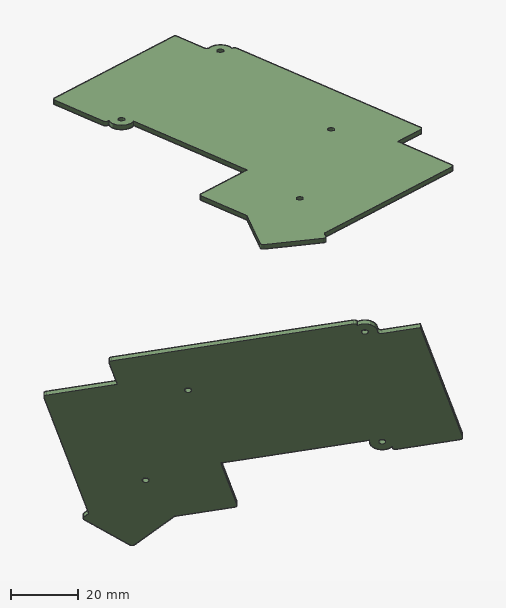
import cadquery as cq
import math

length = 117.7
depth = 85.6
thickness = 1.5
corner_radius = 1.0

left_top = 79.2
left_bottom = 25.4
upper_block_left = 17.8
upper_block_right = 93.1
lower_left_end = 21.3
middle_bottom = 31.4
right_block_left = 72.1
right_block_right = 115.6
right_block_top = 74.5
right_block_bottom = 10.4

tip_angle = math.radians(35)
tip_start_x = 91.3

hole_diameter = 2.0
tab_radius = 3.8
upper_tab = (16.4, 81.1)
lower_tab = (23.5, 29.9)
inner_holes = [(73.4, 66.8), (95.6, 28.8)]


def tip_points():
    """Sharp corners of the tip, set so that its rounded corners reach Y = 0 and X = length."""
    c = math.cos(tip_angle)
    s = math.sin(tip_angle)
    r = corner_radius
    bottom_x = tip_start_x + (r + (right_block_bottom - r) * c) / s
    right_x = length - r
    right_y = r + (right_x - bottom_x) * c / s
    bottom_corner = (bottom_x + r * (c - s), r - r * (s + c))
    right_corner = (right_x + r * (c + s), right_y + r * (c - s))
    notch_y = right_corner[1] + (right_corner[0] - right_block_right) * s / c
    return bottom_corner, right_corner, (right_block_right, notch_y)


def round_corners(plate, points, radius):
    """Round the vertical edges that pass through the given points."""
    for x, y in points:
        edge = cq.selectors.NearestToPointSelector((x, y, thickness / 2))
        plate = plate.edges("|Z").edges(edge).fillet(radius)
    return plate


def stepped_plate():
    bottom_corner, right_corner, notch = tip_points()
    lower_left = (0, left_bottom)
    lower_left_step = (lower_left_end, left_bottom)
    block_lower_left = (right_block_left, right_block_bottom)
    block_upper_right = (right_block_right, right_block_top)
    top_right = (upper_block_right, depth)
    top_left = (upper_block_left, depth)
    outline = [
        lower_left,
        lower_left_step,
        (lower_left_end, middle_bottom),
        (right_block_left, middle_bottom),
        block_lower_left,
        (tip_start_x, right_block_bottom),
        bottom_corner,
        right_corner,
        notch,
        block_upper_right,
        (upper_block_right, right_block_top),
        top_right,
        top_left,
        (upper_block_left, left_top),
        (0, left_top),
    ]
    rounded = [
        lower_left,
        lower_left_step,
        block_lower_left,
        bottom_corner,
        right_corner,
        block_upper_right,
        top_right,
        top_left,
    ]
    plate = cq.Workplane("XY").polyline(outline).close().extrude(thickness)
    return round_corners(plate, rounded, corner_radius)


def add_tabs(plate):
    tabs = cq.Workplane("XY").pushPoints([upper_tab, lower_tab]).circle(tab_radius).extrude(thickness)
    plate = plate.union(tabs)
    drop = upper_tab[1] - left_top
    joint = (upper_tab[0] - math.sqrt(tab_radius**2 - drop**2), left_top)
    return round_corners(plate, [joint], corner_radius)


def drill_holes(plate):
    centres = [upper_tab, lower_tab] + inner_holes
    holes = cq.Workplane("XY").pushPoints(centres).circle(hole_diameter / 2).extrude(thickness)
    return plate.cut(holes)


result = drill_holes(add_tabs(stepped_plate()))